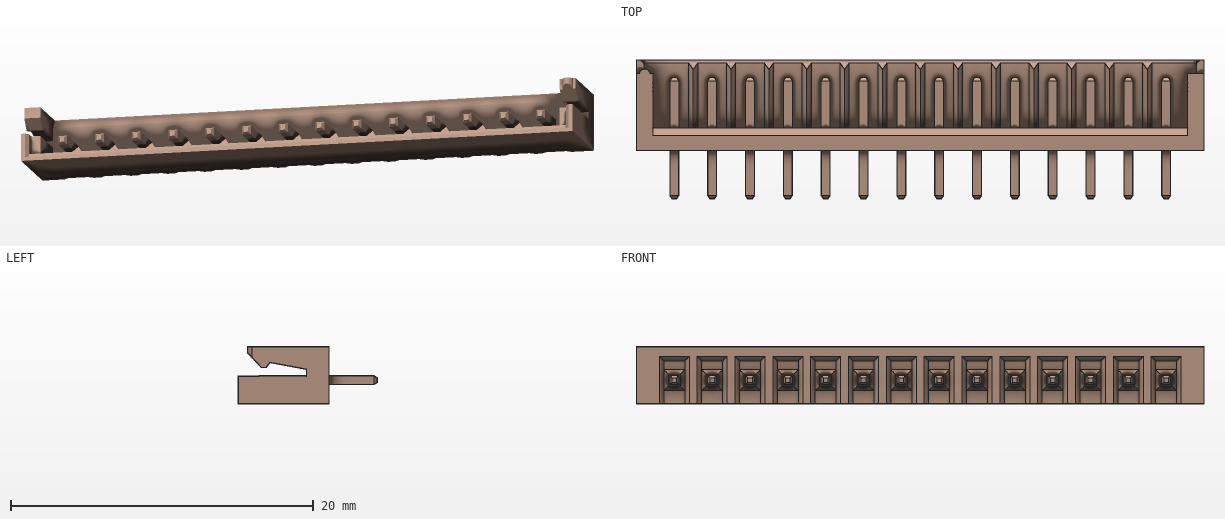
import cadquery as cq

length = 37.5
depth = 6.0
height = 3.8
half_length = length / 2

pin_count = 14
pin_pitch = length / (pin_count + 1)
pin_size = 0.6
pin_height = 1.58
pin_tail = 3.2
pin_reach = 4.85
pin_taper = 0.22
pin_tip_size = 0.3

rear_wall = 1.0
floor_top = 0.5
cavity_rear = 1.5
rear_bevel_height = 0.65
end_wall = 0.5
mouth_chamfer = 0.22

rib_width = 0.6
rib_height = 0.4

arm_width = 1.1
arm_end = 5.1
end_wall_top = 1.85
slot_rear = cavity_rear
slot_rear_top = 2.3
slot_front = 3.9
slot_front_top = 2.75
hook_bottom = 2.4
hook_rear = 4.15
hook_front = 4.45
hook_nose_bottom = 3.08

key_inset = 0.2
key_length = 0.3

recess_width = 2.0
recess_top = 3.15
recess_taper = 0.3
recess_depth = recess_taper
collar_size = recess_width - 2 * recess_taper
collar_tip_size = 0.8
collar_length = (collar_size - collar_tip_size) / 2

pin_positions = [(i - (pin_count - 1) / 2) * pin_pitch for i in range(pin_count)]
rib_positions = [x + pin_pitch / 2 for x in pin_positions[:-1]]


def extrude_along_x(points, x_start, width):
    """Prism from a (Y, Z) outline."""
    return cq.Workplane("YZ", origin=(x_start, 0, 0)).polyline(points).close().extrude(width)


def square_frustum(x, y_start, start_size, y_length, end_size):
    """Square taper along +Y, centred on a pin axis."""
    plane = cq.Plane(origin=(x, y_start, pin_height), xDir=(1, 0, 0), normal=(0, 1, 0))
    return (
        cq.Workplane(plane)
        .rect(start_size, start_size)
        .workplane(offset=y_length)
        .rect(end_size, end_size)
        .loft(ruled=True)
    )


def make_shell():
    """Floor with its bevelled mouth edge and the rear wall with its bevelled inner top edge."""
    cavity_half = half_length - end_wall
    profile = [
        (0, 0),
        (depth, 0),
        (depth, floor_top - mouth_chamfer),
        (depth - mouth_chamfer, floor_top),
        (cavity_rear, floor_top),
        (cavity_rear, height - rear_bevel_height),
        (rear_wall, height),
        (0, height),
    ]
    return extrude_along_x(profile, -cavity_half, 2 * cavity_half)


def make_end(side):
    """End wall, thickened below the latch arm, with its arm; side is -1 for left and 1 for right."""
    wall_profile = [
        (0, 0),
        (depth, 0),
        (depth, end_wall_top),
        (slot_rear, end_wall_top),
        (slot_rear, height),
        (0, height),
    ]
    arm_profile = [
        (0, 0),
        (arm_end, 0),
        (arm_end, end_wall_top),
        (slot_rear, end_wall_top),
        (slot_rear, slot_rear_top),
        (slot_front, slot_front_top),
        (hook_rear, hook_bottom),
        (hook_front, hook_bottom),
        (arm_end, hook_nose_bottom),
        (arm_end, height),
        (0, height),
    ]
    wall = extrude_along_x(wall_profile, side * half_length, -side * end_wall)
    inner = half_length - end_wall
    bevel = (
        cq.Workplane("XY")
        .polyline(
            [
                (side * inner, depth - mouth_chamfer),
                (side * inner, depth),
                (side * (inner + mouth_chamfer), depth),
            ]
        )
        .close()
        .extrude(height)
    )
    floor_corner = cq.Workplane("XY").box(length, 2 * depth, 2 * (floor_top - mouth_chamfer))
    wall = wall.cut(bevel.cut(floor_corner))
    arm = extrude_along_x(arm_profile, side * half_length, -side * arm_width)
    return wall.union(arm)


def make_key():
    """Rounded nose on the left arm, its underside continuing the slope of the hook."""
    left = -half_length
    key = (
        cq.Workplane("XY", origin=(0, 0, hook_nose_bottom))
        .moveTo(left + key_inset, arm_end)
        .threePointArc(
            (left + arm_width / 2, arm_end + key_length),
            (left + arm_width - key_inset, arm_end),
        )
        .close()
        .extrude(height - hook_nose_bottom)
    )
    hook_slope = (hook_nose_bottom - hook_bottom) / (arm_end - hook_front)
    underside = [
        (arm_end, hook_nose_bottom),
        (arm_end + key_length, hook_nose_bottom),
        (arm_end + key_length, hook_nose_bottom + key_length * hook_slope),
    ]
    return key.cut(extrude_along_x(underside, left, arm_width))


def make_rib(x):
    """Peaked rib along the floor with its mouth end bevelled."""
    peak = floor_top + rib_height
    rib = (
        cq.Workplane("XZ", origin=(0, rear_wall, 0))
        .polyline([(x - rib_width / 2, floor_top), (x, peak), (x + rib_width / 2, floor_top)])
        .close()
        .extrude(-(depth - rear_wall))
    )
    bevel_profile = [
        (depth, floor_top - mouth_chamfer),
        (depth - mouth_chamfer - rib_height, peak),
        (depth, peak),
    ]
    return rib.cut(extrude_along_x(bevel_profile, x - rib_width / 2, rib_width))


def make_recess(x):
    """Recess open at the bottom, narrowing inward on three sides."""
    plane = cq.Plane(origin=(x, 0, 0), xDir=(1, 0, 0), normal=(0, 1, 0))
    inner_top = recess_top - recess_taper
    return (
        cq.Workplane(plane)
        .center(0, -recess_top / 2)
        .rect(recess_width, recess_top)
        .workplane(offset=recess_depth)
        .center(0, recess_taper / 2)
        .rect(collar_size, inner_top)
        .loft(ruled=True)
    )


def make_collar(x):
    """Raised square taper supporting the pin where it leaves the recess."""
    return square_frustum(x, recess_depth - collar_length, collar_tip_size, collar_length, collar_size)


def make_pin(x):
    """Square pin with both ends tapered."""
    shaft_start = pin_taper - pin_tail
    shaft_end = pin_reach - pin_taper
    shaft = square_frustum(x, shaft_start, pin_size, shaft_end - shaft_start, pin_size)
    tail_tip = square_frustum(x, -pin_tail, pin_tip_size, pin_taper, pin_size)
    mating_tip = square_frustum(x, shaft_end, pin_size, pin_taper, pin_tip_size)
    return shaft.union(tail_tip).union(mating_tip)


result = make_shell().union(make_end(-1)).union(make_end(1)).union(make_key())
for rib_x in rib_positions:
    result = result.union(make_rib(rib_x))
for pin_x in pin_positions:
    result = result.cut(make_recess(pin_x)).union(make_collar(pin_x)).union(make_pin(pin_x))